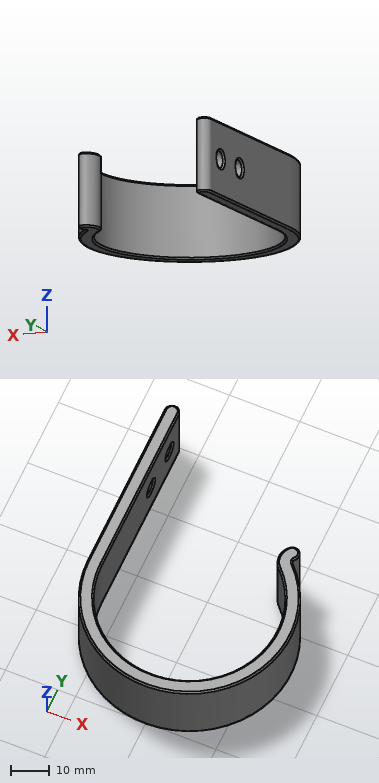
import cadquery as cq
import math

overall_width = 57.9
overall_length = 81.0
strip_width = 20.0
strip_thickness = 4.0

lip_start_angle = 45.0
lip_turn = 90.0
lip_inner_radius = 1.0

hole_count = 2
hole_diameter = 4.5
first_hole_offset = 8.0
hole_spacing = 12.0

edge_chamfer = 0.5

outer_radius = overall_width / 2
inner_radius = outer_radius - strip_thickness
middle_radius = outer_radius - strip_thickness / 2
end_radius = strip_thickness / 2
leg_tip_y = overall_length - outer_radius
leg_end_y = leg_tip_y - end_radius
lip_outer_radius = lip_inner_radius + strip_thickness
lip_middle_radius = lip_inner_radius + end_radius


def polar(radius, angle, center=(0, 0)):
    """Point at a radius and an angle in degrees around a center."""
    a = math.radians(angle)
    return (center[0] + radius * math.cos(a), center[1] + radius * math.sin(a))


def hook_outline():
    """Closed outline of the leg, the bend and the lip."""
    lip_center = polar(outer_radius + lip_inner_radius, lip_start_angle)
    lip_first = lip_start_angle + 180
    lip_last = lip_first - lip_turn
    lip_middle = (lip_first + lip_last) / 2
    lip_tip_center = polar(lip_middle_radius, lip_last, lip_center)
    bend_middle = -90
    return (
        cq.Workplane("XY")
        .moveTo(-outer_radius, leg_end_y)
        .lineTo(-outer_radius, 0)
        .threePointArc(polar(outer_radius, bend_middle), polar(outer_radius, lip_start_angle))
        .threePointArc(
            polar(lip_inner_radius, lip_middle, lip_center),
            polar(lip_inner_radius, lip_last, lip_center),
        )
        .threePointArc(
            polar(end_radius, lip_last - 90, lip_tip_center),
            polar(lip_outer_radius, lip_last, lip_center),
        )
        .threePointArc(
            polar(lip_outer_radius, lip_middle, lip_center),
            polar(inner_radius, lip_start_angle),
        )
        .threePointArc(polar(inner_radius, bend_middle), (-inner_radius, 0))
        .lineTo(-inner_radius, leg_end_y)
        .threePointArc((-middle_radius, leg_tip_y), (-outer_radius, leg_end_y))
        .close()
    )


def screw_hole(y):
    """Through hole across the leg, chamfered at both mouths."""
    hole_radius = hole_diameter / 2
    mouth_radius = hole_radius + edge_chamfer
    return (
        cq.Workplane("XY")
        .moveTo(-outer_radius, y)
        .lineTo(-outer_radius, y + mouth_radius)
        .lineTo(-outer_radius + edge_chamfer, y + hole_radius)
        .lineTo(-inner_radius - edge_chamfer, y + hole_radius)
        .lineTo(-inner_radius, y + mouth_radius)
        .lineTo(-inner_radius, y)
        .close()
        .revolve(360, (-outer_radius, y, 0), (-inner_radius, y, 0))
    )


result = hook_outline().extrude(strip_width / 2, both=True)
result = result.faces("|Z").chamfer(edge_chamfer)

for index in range(hole_count):
    hole_y = leg_tip_y - first_hole_offset - index * hole_spacing
    result = result.cut(screw_hole(hole_y))